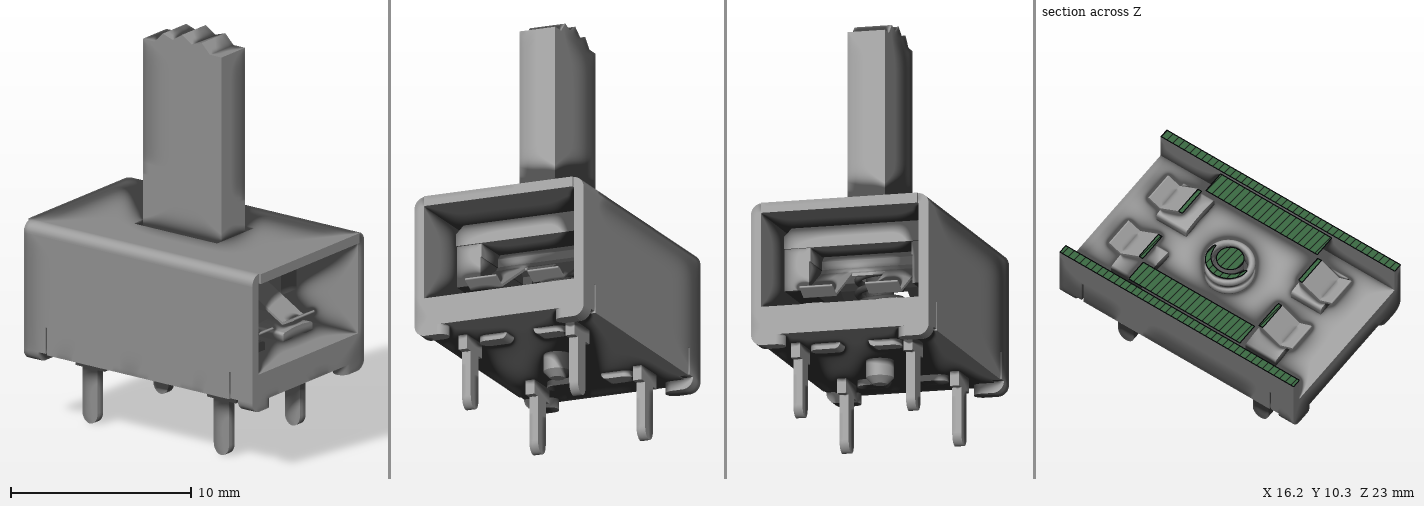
import cadquery as cq
import math


overall_height = 23.03

case_length = 15.94
case_width = 10.27
case_top = 7.5
sheet = 0.58
bend_radius = 0.62
ceiling = case_top - sheet
inner_half_width = case_width / 2 - sheet
lid_length = 16.21
lid_width = case_width - 2 * bend_radius
window_length = 5.8
window_width = 3.4

tab_width = 1.01
tab_tip_y = 3.27
wall_bottom = 0.07

base_height = 1.61
base_step_length = 12.67
notch_length = 12.9

lever_width = 5.48
lever_depth = 2.16
lever_top = 18.98
lever_shoulder = 18.2
serration_foot_x = 1.93
side_peak_x = 1.35
side_peak_z = 18.77
valley_x = 0.67
valley_z = 18.55
slider_length = 7.83
leg_length = 7.6
slider_half_width = 4.42
slider_underside = 5.78
slider_chamfer = 0.45
leg_bottom = 3.4
leg_step_z = 5.02
leg_inner_y = 3.0
leg_step = 0.07

plate_width = 5.67
plate_thickness = 0.14
plate_slot_width = 1.9
plate_slot_end_x = 2.25
plate_toe_x = 6.2
plate_toe_z = 3.0
plate_heel_x = 5.44
plate_heel_z = 2.63
plate_wing_top_x = 2.03
plate_wing_top_z = 4.6
plate_wall_x = 1.7
plate_wall_bottom_z = 4.93
plate_wall_top_z = 5.4
plate_crown_x = 1.38
plate_crown_z = slider_underside - plate_thickness / 2

post_diameter = 1.57
post_bottom = -1.34
post_top = 5.07
post_chamfer = 0.37
wire_diameter = 0.4
coil_radius = 1.22
coil_pitch = 0.74
coil_start_z = base_height + 0.15
coil_turns = 5

terminal_x = 4.58
terminal_width = 2.03
terminal_outer_y = 3.52
terminal_inner_y = 0.83
terminal_sheet = 0.53
arch_shoulder_z = 2.1
arch_peak_z = 2.23
arch_fillet = 0.18
arch_relief_z = 1.7
arch_relief_width = 1.25
pin_shoulder_z = -0.83
pin_width = 1.05
pin_straight_end_z = -3.4
pin_tip_z = lever_top - overall_height
clinch_depth = 0.35
clinch_bend_radius = 0.32
clinch_width = 1.04
clinch_tip_y = 2.63


def block(x_range, y_range, z_range):
    """Axis-aligned box given by its limits on each axis."""
    size = [high - low for low, high in (x_range, y_range, z_range)]
    corner = (x_range[0], y_range[0], z_range[0])
    return cq.Workplane("XY").box(*size, centered=False).translate(corner)


def centered_block(length, width, z_low, z_high):
    """Box centred on the Z axis between two heights."""
    return block((-length / 2, length / 2), (-width / 2, width / 2), (z_low, z_high))


def mirrored(body, plane):
    """Body together with its mirror image."""
    return body.union(body.mirror(plane))


def in_four_corners(body, offset_x):
    """Body moved out along X and mirrored to all four corners."""
    return mirrored(mirrored(body.translate((offset_x, 0, 0)), "XZ"), "YZ")


def make_round_tipped_tab(width, root_y, tip_y, thickness):
    """Flat tab along Y under Z = 0, centred on X = 0, with a fully rounded tip."""
    radius = width / 2
    direction = math.copysign(1, tip_y - root_y)
    shoulder_y = tip_y - direction * radius
    return (
        cq.Workplane("XY")
        .moveTo(-radius, root_y)
        .lineTo(-radius, shoulder_y)
        .threePointArc((0, tip_y), (radius, shoulder_y))
        .lineTo(radius, root_y)
        .close()
        .extrude(-thickness)
    )


def make_case():
    tube = centered_block(case_length, case_width, -sheet, case_top)
    tube = tube.edges("|X").fillet(bend_radius)
    tube = tube.cut(centered_block(case_length, 2 * inner_half_width, -sheet, ceiling))
    tube = tube.cut(centered_block(case_length - 2 * tab_width, case_width, -sheet, wall_bottom))
    tube = tube.cut(centered_block(notch_length, case_width, wall_bottom, base_height))
    tab = make_round_tipped_tab(tab_width, inner_half_width, tab_tip_y, sheet)
    tabs = in_four_corners(tab, (case_length - tab_width) / 2)
    lid = centered_block(lid_length, lid_width, ceiling, case_top)
    window = centered_block(window_length, window_width, ceiling, case_top)
    return tube.union(tabs).union(lid).cut(window)


def make_base():
    body = centered_block(case_length, 2 * inner_half_width, 0, base_height)
    return body.union(centered_block(base_step_length, case_width, 0, base_height))


def make_lever():
    """Flat lever with a serrated tip."""
    half_outline = [
        (lever_width / 2, ceiling),
        (lever_width / 2, lever_shoulder),
        (serration_foot_x, lever_shoulder),
        (side_peak_x, side_peak_z),
        (valley_x, valley_z),
    ]
    outline = half_outline + [(0, lever_top)] + [(-x, z) for x, z in reversed(half_outline)]
    return cq.Workplane("XZ").polyline(outline).close().extrude(lever_depth / 2, both=True)


def make_slider():
    """Slider under the lid with one stepped leg along each side."""
    body = centered_block(slider_length, 2 * slider_half_width, slider_underside, ceiling)
    body = body.edges("|X and >Z").chamfer(slider_chamfer)
    x_range = (-leg_length / 2, leg_length / 2)
    leg = block(x_range, (leg_inner_y, slider_half_width), (leg_bottom, slider_underside))
    step = block(x_range, (leg_inner_y - leg_step, leg_inner_y), (leg_step_z, slider_underside))
    return body.union(mirrored(leg.union(step), "XZ"))


def make_contact_plate():
    """Hat-shaped strip whose slotted wings slope down to upturned toes."""
    half_path = [
        (plate_toe_x, plate_toe_z),
        (plate_heel_x, plate_heel_z),
        (plate_wing_top_x, plate_wing_top_z),
        (plate_wall_x, plate_wall_bottom_z),
        (plate_wall_x, plate_wall_top_z),
        (plate_crown_x, plate_crown_z),
    ]
    path = half_path + [(-x, z) for x, z in reversed(half_path)]
    outline = cq.Workplane("XZ").polyline(path).offset2D(plate_thickness / 2)
    strip = outline.extrude(plate_width / 2, both=True)
    slot_half_width = plate_slot_width / 2
    slot = block(
        (plate_slot_end_x, case_length / 2),
        (-slot_half_width, slot_half_width),
        (base_height, slider_underside),
    )
    return strip.cut(mirrored(slot, "YZ"))


def make_post():
    post = cq.Workplane("XY").workplane(offset=post_bottom).circle(post_diameter / 2)
    return post.extrude(post_top - post_bottom).faces("<Z").chamfer(post_chamfer)


def make_spring():
    helix = cq.Wire.makeHelix(coil_pitch, coil_pitch * coil_turns, coil_radius)
    wire = cq.Workplane("XZ").center(coil_radius, 0).circle(wire_diameter / 2)
    return wire.sweep(cq.Workplane(helix), isFrenet=True).translate((0, 0, coil_start_z))


def make_arch():
    """Arched contact pad resting on the base at the +X, +Y terminal."""
    mid_y = (terminal_inner_y + terminal_outer_y) / 2
    relief = arch_relief_width / 2
    pad = (
        cq.Workplane("YZ")
        .moveTo(terminal_inner_y, base_height)
        .lineTo(terminal_inner_y, arch_shoulder_z)
        .threePointArc((mid_y, arch_peak_z), (terminal_outer_y, arch_shoulder_z))
        .lineTo(terminal_outer_y, base_height)
        .lineTo(mid_y + relief, base_height)
        .threePointArc((mid_y, arch_relief_z), (mid_y - relief, base_height))
        .close()
        .extrude(terminal_width / 2, both=True)
    )
    shoulders = pad.edges("|X and (<Y or >Y)").edges(">Z")
    return shoulders.fillet(arch_fillet)


def make_pin():
    """Wide shoulder under the base, then a narrow pin with an elliptical tip."""
    y_range = (terminal_outer_y - terminal_sheet, terminal_outer_y)
    half_pin = pin_width / 2
    shoulder = block((-terminal_width / 2, terminal_width / 2), y_range, (pin_shoulder_z, 0))
    shank = block((-half_pin, half_pin), y_range, (pin_straight_end_z, pin_shoulder_z))
    tip = (
        cq.Workplane("XZ", origin=(0, terminal_outer_y, pin_straight_end_z))
        .ellipse(half_pin, pin_straight_end_z - pin_tip_z)
        .extrude(terminal_sheet)
    )
    return shoulder.union(shank).union(tip)


def make_clinch():
    """Inner end of the terminal, bent outward under the base, with a rounded tip."""
    tab = make_round_tipped_tab(clinch_width, terminal_inner_y, clinch_tip_y, clinch_depth)
    return tab.edges("|X and <Y and <Z").fillet(clinch_bend_radius)


def make_terminals():
    terminal = make_arch().union(make_pin()).union(make_clinch())
    return in_four_corners(terminal, terminal_x)


result = (
    make_case()
    .union(make_base())
    .union(make_lever())
    .union(make_slider())
    .union(make_contact_plate())
    .union(make_post())
    .union(make_spring())
    .union(make_terminals())
)